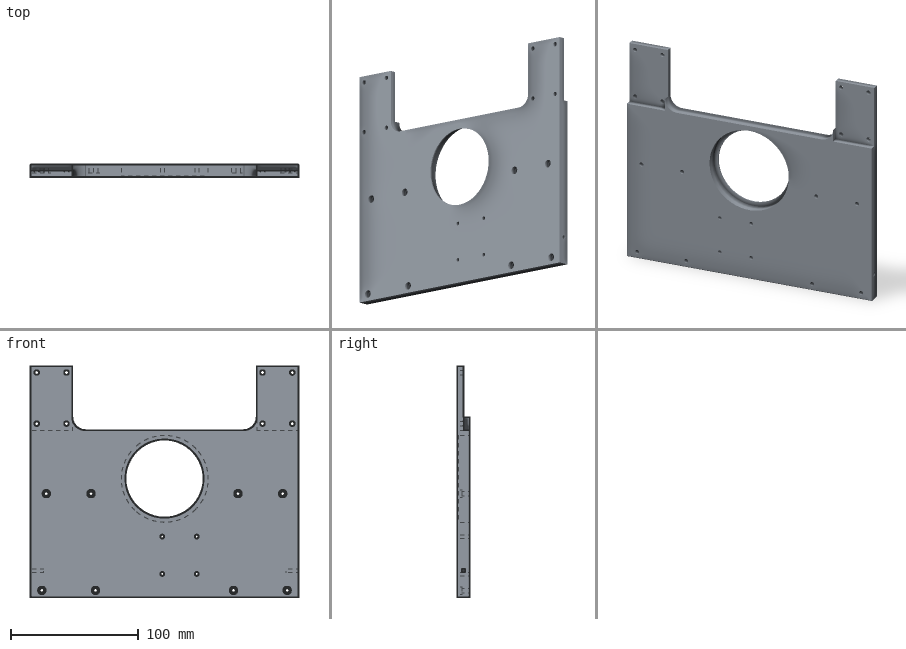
import cadquery as cq

WIDTH = 210.0
THICKNESS = 10.0
HEIGHT = 181.0

EDGE_RADIUS = 1.0

ARM_WIDTH = 33.0
ARM_LENGTH = 50.0
NOTCH_RADIUS = 10.0
ARM_THICKNESS = THICKNESS / 2

BORE_DIAMETER = 61.0
BORE_HEIGHT = 93.0
BORE_LIP = 1.0
REAR_BORE_DIAMETER = 68.0

ARM_HOLE_DIAMETER = 3.5
ARM_HOLE_EDGE = 5.0
ARM_HOLE_PITCH_X = 23.3
ARM_HOLE_PITCH_Z = 40.0

MOUNT_HOLE_DIAMETER = 3.4
MOUNT_BORE_DIAMETER = 6.0
MOUNT_BORE_DEPTH = 3.5
UPPER_MOUNT_X = (57.5, 92.5)
UPPER_MOUNT_Z = 81.2
LOWER_MOUNT_X = (54.0, 96.0)
LOWER_MOUNT_Z = 5.5

SMALL_HOLE_DIAMETER = 2.9
SMALL_HOLE_CENTER_X = 11.75
SMALL_HOLE_CENTER_Z = 33.0
SMALL_HOLE_PITCH_X = 27.0
SMALL_HOLE_PITCH_Z = 29.2

SIDE_HOLE_DIAMETER = 3.0
SIDE_HOLE_DEPTH = 10.0
SIDE_HOLE_Z = 21.0

HALF_WIDTH = WIDTH / 2
NOTCH_HALF_WIDTH = HALF_WIDTH - ARM_WIDTH
NOTCH_FLOOR = HEIGHT - ARM_LENGTH
SIDES = (-1, 1)


def block(x_min, x_max, y_min, y_max, z_min, z_max):
    """Axis-aligned box between the given limits."""
    size = (x_max - x_min, y_max - y_min, z_max - z_min)
    return cq.Workplane("XY").box(*size, centered=False).translate((x_min, y_min, z_min))


def bores(points, diameter, depth=THICKNESS):
    """Cylinders that enter the front face at (x, z) points and run toward +Y."""
    return cq.Workplane("XZ").pushPoints(points).circle(diameter / 2).extrude(-depth)


def mirrored(x_values, z):
    return [(side * x, z) for side in SIDES for x in x_values]


def make_plate():
    """Plate with its rear side and bottom edges rounded and thinned arms above a rounded notch."""
    plate = block(-HALF_WIDTH, HALF_WIDTH, 0, THICKNESS, 0, HEIGHT)
    plate = plate.faces(">Y").edges("<X or >X or <Z").fillet(EDGE_RADIUS)

    notch = block(-NOTCH_HALF_WIDTH, NOTCH_HALF_WIDTH, 0, THICKNESS, NOTCH_FLOOR, HEIGHT)
    notch = notch.edges("|Y and <Z").fillet(NOTCH_RADIUS)
    plate = plate.cut(notch)

    for side in SIDES:
        inner, outer = sorted((side * NOTCH_HALF_WIDTH, side * HALF_WIDTH))
        plate = plate.cut(block(inner, outer, ARM_THICKNESS, THICKNESS, NOTCH_FLOOR, HEIGHT))
    return plate


def cut_bore(plate):
    center = [(0, BORE_HEIGHT)]
    plate = plate.cut(bores(center, BORE_DIAMETER))
    rear_bore = bores(center, REAR_BORE_DIAMETER, THICKNESS - BORE_LIP)
    return plate.cut(rear_bore.translate((0, BORE_LIP, 0)))


def cut_arm_holes(plate):
    outer_x = HALF_WIDTH - ARM_HOLE_EDGE
    upper_z = HEIGHT - ARM_HOLE_EDGE
    columns = (outer_x, outer_x - ARM_HOLE_PITCH_X)
    for z in (upper_z, upper_z - ARM_HOLE_PITCH_Z):
        plate = plate.cut(bores(mirrored(columns, z), ARM_HOLE_DIAMETER))
    return plate


def cut_mount_holes(plate):
    points = mirrored(UPPER_MOUNT_X, UPPER_MOUNT_Z) + mirrored(LOWER_MOUNT_X, LOWER_MOUNT_Z)
    plate = plate.cut(bores(points, MOUNT_HOLE_DIAMETER))
    return plate.cut(bores(points, MOUNT_BORE_DIAMETER, MOUNT_BORE_DEPTH))


def cut_small_holes(plate):
    points = [
        (SMALL_HOLE_CENTER_X + i * SMALL_HOLE_PITCH_X / 2, SMALL_HOLE_CENTER_Z + j * SMALL_HOLE_PITCH_Z / 2)
        for i in SIDES
        for j in SIDES
    ]
    return plate.cut(bores(points, SMALL_HOLE_DIAMETER))


def cut_side_holes(plate):
    for side in SIDES:
        start = cq.Vector(side * HALF_WIDTH, THICKNESS / 2, SIDE_HOLE_Z)
        inward = cq.Vector(-side, 0, 0)
        plate = plate.cut(cq.Solid.makeCylinder(SIDE_HOLE_DIAMETER / 2, SIDE_HOLE_DEPTH, start, inward))
    return plate


result = make_plate()
result = cut_bore(result)
result = cut_arm_holes(result)
result = cut_mount_holes(result)
result = cut_small_holes(result)
result = cut_side_holes(result)